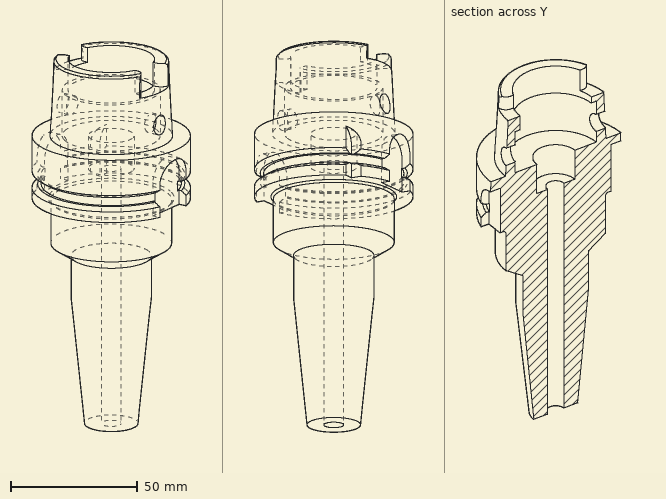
import cadquery as cq
import math


nose_taper_top = 52.5
shank_top = 69.9
body_bottom = 75.2
flange_bottom = 94.1
flange_top = 120.1
overall_height = 152.0

nose_tip_radius = 10.6
shank_radius = 16.0
body_radius = 24.0
flange_radius = 31.5
taper_base_radius = 24.3
taper_top_radius = 22.8
taper_top_chamfer = 0.9
neck_flare = 0.9

groove_radius = 27.8
groove_shoulder_radius = 29.2
groove_bottom = 100.0
groove_top = 103.8
groove_bevel_height = 1.5

through_bore_radius = 4.0
recess_radius = 9.1
recess_floor = 106.4
cavity_floor = flange_top
undercut_radius = 19.5
undercut_top = 139.2
mouth_radius = 17.2

cross_hole_radius = 4.0
cross_hole_height = 129.0

notch_half_width = 6.2
notch_round_radius = 3.5
notch_round_start = 17.3
left_notch_floor = 145.9
right_notch_floor = 142.3

left_slot_width = 16.0
right_slot_width = 18.0
slot_floor_distance = 26.8
slot_arc_center_height = 107.2

orientation_notch_corner = 19.9
orientation_notch_radius = left_slot_width / 2

outer_profile = [
    (0, 0),
    (nose_tip_radius, 0),
    (shank_radius, nose_taper_top),
    (shank_radius, shank_top),
    (body_radius, body_bottom),
    (body_radius, flange_bottom - neck_flare),
    (body_radius + neck_flare, flange_bottom),
    (flange_radius, flange_bottom),
    (flange_radius, groove_bottom - groove_bevel_height),
    (groove_shoulder_radius, groove_bottom),
    (groove_radius, groove_bottom),
    (groove_radius, groove_top),
    (groove_shoulder_radius, groove_top),
    (flange_radius, groove_top + groove_bevel_height),
    (flange_radius, flange_top),
    (taper_base_radius, flange_top),
    (taper_top_radius, overall_height - taper_top_chamfer),
    (taper_top_radius - taper_top_chamfer, overall_height),
    (0, overall_height),
]

bore_profile = [
    (0, 0),
    (through_bore_radius, 0),
    (through_bore_radius, recess_floor),
    (recess_radius, recess_floor),
    (recess_radius, cavity_floor),
    (undercut_radius, cavity_floor),
    (undercut_radius, undercut_top),
    (mouth_radius, undercut_top),
    (mouth_radius, overall_height),
    (0, overall_height),
]


def turned(profile):
    """Revolve a closed (radius, height) outline about Z."""
    return cq.Workplane("XZ").polyline(profile).close().revolve(360, (0, 0), (0, 1))


def drive_notch(floor_height):
    """Cutter on the +X side whose walls round outward toward the rim."""
    round_end_x = notch_round_start + notch_round_radius
    round_end_y = notch_half_width + notch_round_radius
    mid_x = notch_round_start + notch_round_radius * math.sin(math.pi / 4)
    mid_y = round_end_y - notch_round_radius * math.cos(math.pi / 4)
    return (
        cq.Workplane("XY", origin=(0, 0, floor_height))
        .moveTo(0, -notch_half_width)
        .lineTo(notch_round_start, -notch_half_width)
        .threePointArc((mid_x, -mid_y), (round_end_x, -round_end_y))
        .lineTo(flange_radius, -round_end_y)
        .lineTo(flange_radius, round_end_y)
        .lineTo(round_end_x, round_end_y)
        .threePointArc((mid_x, mid_y), (notch_round_start, notch_half_width))
        .lineTo(0, notch_half_width)
        .close()
        .extrude(overall_height - floor_height)
    )


def flange_slot(radius, floor_distance, center_y=0):
    """Cutter on the +X side, open below the flange and round at its upper end."""
    return (
        cq.Workplane("YZ", origin=(floor_distance, 0, 0))
        .moveTo(center_y - radius, flange_bottom)
        .lineTo(center_y - radius, slot_arc_center_height)
        .threePointArc(
            (center_y, slot_arc_center_height + radius),
            (center_y + radius, slot_arc_center_height),
        )
        .lineTo(center_y + radius, flange_bottom)
        .close()
        .extrude(flange_radius - floor_distance)
    )


def on_left(cutter):
    """Mirror a +X cutter to the -X side."""
    return cutter.mirror("YZ")


holder = turned(outer_profile).cut(turned(bore_profile))

cross_hole = (
    cq.Workplane("YZ", origin=(0, 0, cross_hole_height))
    .circle(cross_hole_radius)
    .extrude(taper_base_radius, both=True)
)
holder = holder.cut(cross_hole)

holder = holder.cut(on_left(drive_notch(left_notch_floor)))
holder = holder.cut(drive_notch(right_notch_floor))

holder = holder.cut(on_left(flange_slot(left_slot_width / 2, slot_floor_distance)))
holder = holder.cut(flange_slot(right_slot_width / 2, slot_floor_distance))

orientation_notch = flange_slot(
    orientation_notch_radius,
    orientation_notch_corner,
    orientation_notch_corner + orientation_notch_radius,
)
result = holder.cut(on_left(orientation_notch))